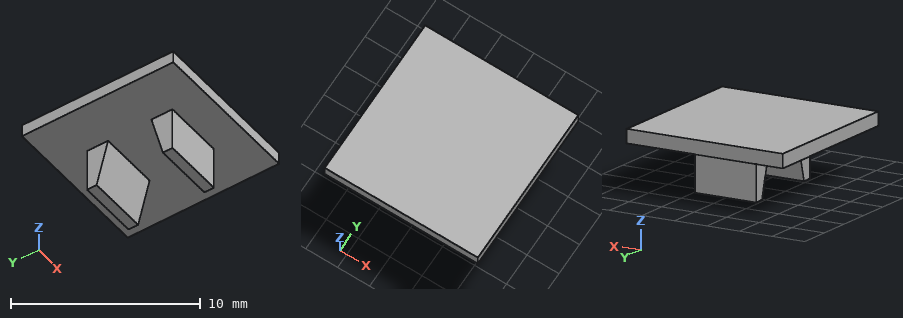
import cadquery as cq

plate_length_x = 9.6
plate_length_y = 9.8
total_height = 3.6
plate_thickness = 0.8

leg_width = 3.76
leg_height = total_height - plate_thickness
leg_outer_span = 5.53
leg_root_thickness = 1.36
leg_tip_thickness = 0.62


def make_plate():
    """Flat plate with its underside at Z = 0."""
    return cq.Workplane("XY").box(
        plate_length_x, plate_length_y, plate_thickness, centered=(True, True, False)
    )


def make_leg():
    """Leg on the +Y side: upright outer face, inner face tapering to the tip."""
    outer_y = leg_outer_span / 2
    profile = [
        (outer_y, 0),
        (outer_y, -leg_height),
        (outer_y - leg_tip_thickness, -leg_height),
        (outer_y - leg_root_thickness, 0),
    ]
    return cq.Workplane("YZ").polyline(profile).close().extrude(leg_width / 2, both=True)


leg = make_leg()
result = make_plate().union(leg).union(leg.mirror("XZ"))